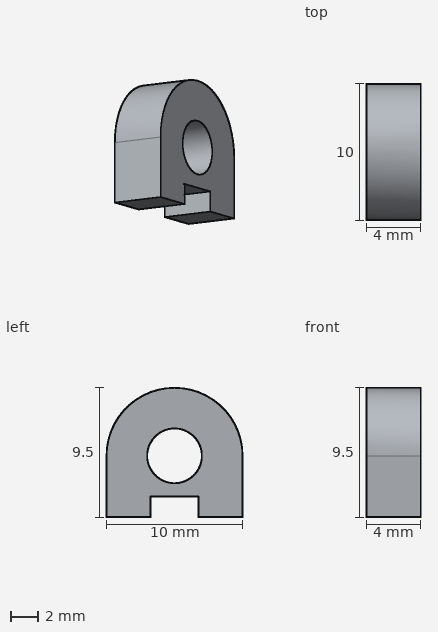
import cadquery as cq

thickness = 4.0
width = 10.0
axis_height = 4.5
bore_diameter = 4.0
notch_width = 3.5
notch_height = 1.5

half_width = width / 2
half_notch = notch_width / 2
top_height = axis_height + half_width

body = (
    cq.Workplane("YZ")
    .moveTo(-half_width, 0)
    .lineTo(-half_notch, 0)
    .lineTo(-half_notch, notch_height)
    .lineTo(half_notch, notch_height)
    .lineTo(half_notch, 0)
    .lineTo(half_width, 0)
    .lineTo(half_width, axis_height)
    .threePointArc((0, top_height), (-half_width, axis_height))
    .close()
    .extrude(thickness)
)

bore = (
    cq.Workplane("YZ")
    .center(0, axis_height)
    .circle(bore_diameter / 2)
    .extrude(thickness)
)

result = body.cut(bore)